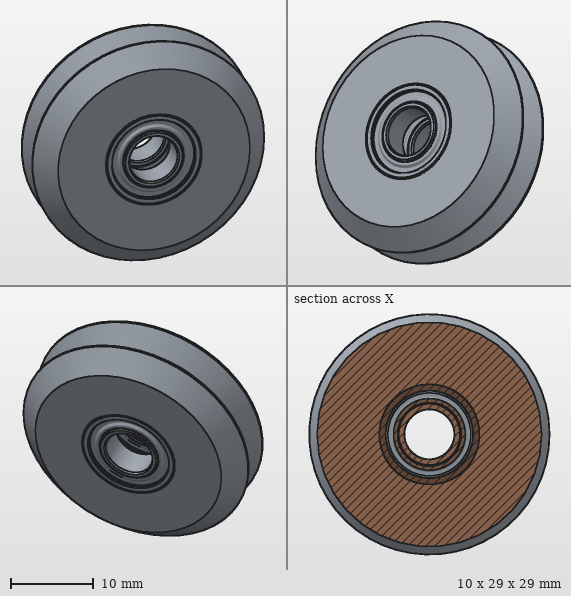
import cadquery as cq

wheel_width = 10.0
tip_radius = 14.5
rim_edge_radius = 12.0
tip_land = 0.25
lip_radius = 5.0
flank_run = tip_radius - rim_edge_radius

bearing_radius = 6.0
bearing_width = 4.0
bore_radius = 3.0
outer_ring_chamfer = 0.2
outer_ring_inner_radius = 5.25
inner_ring_radius = 3.72
inner_ring_chamfer = 0.17
bore_chamfer_width = 0.15
bore_chamfer_depth = 0.26

rim_recess = 0.45
rim_bevel_recess = 0.3
rim_flat_radius = 5.12
step_foot_radius = 4.5
step_height = 0.27
step_fillet = 0.15
hub_bore_radius = 3.81
hub_recess = rim_recess - step_height
hub_gap_floor = rim_recess

bearing_outer_face = -wheel_width / 2
bearing_inner_face = bearing_outer_face + bearing_width
bearing_middle = bearing_outer_face + bearing_width / 2


def mirrored(outline, middle):
    """Outline points mirrored across the plane x = middle, in reverse order."""
    return [(2 * middle - x, radius) for x, radius in reversed(outline)]


def revolve_about_x(outline):
    """Turn a closed outline of (x, radius) points about the X axis."""
    return cq.Workplane("XY").polyline(outline).close().revolve(360, (0, 0, 0), (1, 0, 0))


def bearing_part(half_outline):
    """Revolve a bearing part from the half of its outline next to the outer face."""
    return revolve_about_x(half_outline + mirrored(half_outline, bearing_middle))


def make_wheel():
    wheel_face = -wheel_width / 2
    tip_start = wheel_face + flank_run
    tip_end = tip_start + tip_land
    valley_radius = tip_radius + tip_end
    left_half = [
        (bearing_inner_face, lip_radius),
        (bearing_inner_face, bearing_radius),
        (wheel_face, bearing_radius),
        (wheel_face, rim_edge_radius),
        (tip_start, tip_radius),
        (tip_end, tip_radius),
    ]
    return revolve_about_x(left_half + [(0, valley_radius)] + mirrored(left_half, 0))


def make_outer_ring():
    face = bearing_outer_face
    return bearing_part([
        (face + outer_ring_chamfer, bearing_radius),
        (face, bearing_radius - outer_ring_chamfer),
        (face, outer_ring_inner_radius),
    ])


def make_inner_ring():
    face = bearing_outer_face
    return bearing_part([
        (face + inner_ring_chamfer, inner_ring_radius),
        (face, inner_ring_radius - inner_ring_chamfer),
        (face, bore_radius + bore_chamfer_width),
        (face + bore_chamfer_depth, bore_radius),
    ])


def make_shield():
    face = bearing_outer_face
    step_top_radius = step_foot_radius - step_height
    shield = bearing_part([
        (face + rim_bevel_recess, outer_ring_inner_radius),
        (face + rim_recess, rim_flat_radius),
        (face + rim_recess, step_foot_radius),
        (face + hub_recess, step_top_radius),
        (face + hub_recess, hub_bore_radius),
        (face + hub_gap_floor, hub_bore_radius),
        (face + hub_gap_floor, inner_ring_radius),
    ])
    step_top = cq.selectors.RadiusNthSelector(2)
    step_foot = cq.selectors.RadiusNthSelector(3)
    return shield.edges(step_top + step_foot).fillet(step_fillet)


bodies = [make_wheel().val()]
for part in (make_outer_ring(), make_shield(), make_inner_ring()):
    bodies.append(part.val())
    bodies.append(part.mirror("YZ").val())
result = cq.Compound.makeCompound(bodies)